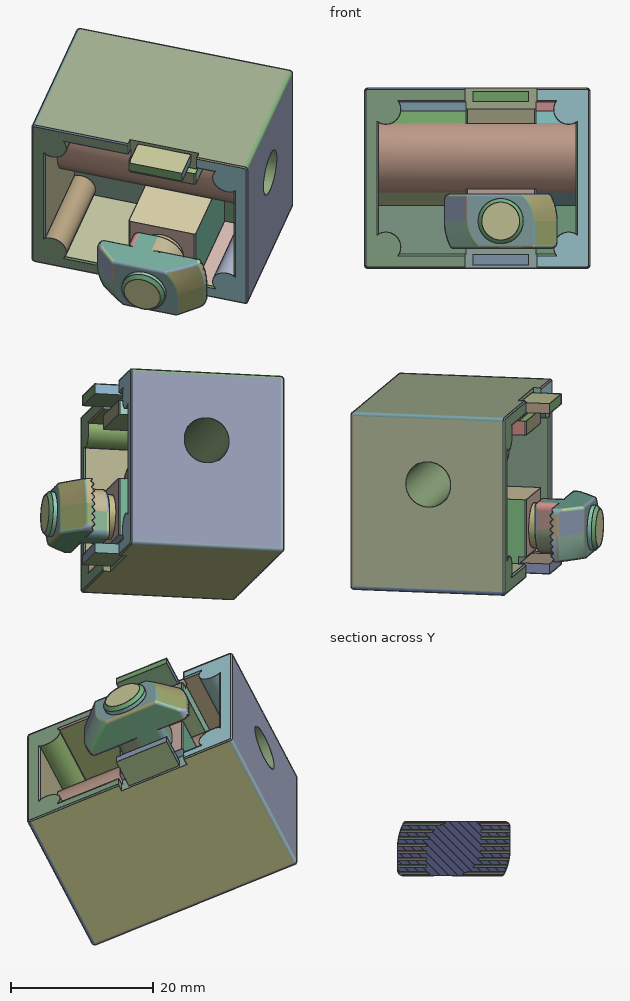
import cadquery as cq
import math

WIDTH = 31.75
DEPTH = 22.22
HEIGHT = 25.4
EDGE_ROUND = 0.5
FRONT_CHAMFER = 0.2
WALL = 2.0
RIM_CHAMFER = 0.22
CHAMFER_ANGLE = 45

POST_INSET = 3.02
POST_RADIUS = 2.1

TUBE_Y = 11.0
TUBE_Z = 15.53
TUBE_RADIUS = 5.2
BORE_RADIUS = 3.25
WEB_TILT = math.radians(20)
WEB_HALF_HEIGHT = 6.67
WEB_START_Y = TUBE_Y - TUBE_RADIUS * math.sin(WEB_TILT)
WEB_START_HALF = TUBE_RADIUS * math.cos(WEB_TILT)
CAVITY_BACK = WEB_START_Y + (WEB_HALF_HEIGHT - WEB_START_HALF) / math.tan(WEB_TILT)

MID_X = 19.2
BLOCK_WIDTH = 9.8
GAP_BOTTOM = 11.18
GAP_TOP = 20.4

NOTCH_WIDTH = 10.1
NOTCH_DEPTH = 1.08
NOTCH_HEIGHT = 3.0
TAB_WIDTH = 7.8
TAB_THICKNESS = 1.43
TAB_INSET = 0.5
TAB_REACH = 3.18

BOLT_X = 19.18
BOLT_Z = 6.67
STEM_RADIUS = 3.18
STEM_DEPTH = 6.35
HEAD_HALF = 3.85
NECK_START = -0.95
NECK_CORNER = 1.0
TURN_CORNER = 4.0
NECK_ROUND = 0.4
HEAD_BACK = -4.03
HEAD_SLANT_START = -5.2
HEAD_FRONT = -8.4
BOLT_TIP = -9.52
HEAD_REACH = 7.95
HEAD_FRONT_REACH = HEAD_REACH - (HEAD_SLANT_START - HEAD_FRONT)
HEAD_CORNER = 0.9
HEAD_ROUND = 0.4
TIP_CHAMFER = 0.5
TOOTH_PITCH = 1.0
TOOTH_DEPTH = 0.48


def box(x0, x1, y0, y1, z0, z1):
    """Box between two opposite corners."""
    return cq.Workplane("XY").box(x1 - x0, y1 - y0, z1 - z0, centered=False).translate((x0, y0, z0))


def y_cylinder(x, z, radius, y0, y1):
    """Cylinder along Y from y0 to y1."""
    return cq.Workplane("XZ", origin=(x, y0, z)).circle(radius).extrude(y0 - y1)


def x_cylinder(radius, x0, x1):
    """Cylinder along X on the tube axis."""
    return cq.Workplane("YZ", origin=(x0, TUBE_Y, TUBE_Z)).circle(radius).extrude(x1 - x0)


def make_shell():
    """Rounded box with a cavity that opens at the front."""
    shell = box(0, WIDTH, 0, DEPTH, 0, HEIGHT)
    shell = shell.edges("|Y").fillet(EDGE_ROUND)
    shell = shell.faces(">Y").edges().fillet(EDGE_ROUND)
    shell = shell.faces("<Y").edges().chamfer(FRONT_CHAMFER)
    cavity = box(WALL, WIDTH - WALL, 0, CAVITY_BACK, WALL, HEIGHT - WALL)
    rim = (
        cq.Workplane("XZ", origin=(WIDTH / 2, 0, HEIGHT / 2))
        .rect(WIDTH - 2 * (WALL - RIM_CHAMFER), HEIGHT - 2 * (WALL - RIM_CHAMFER))
        .extrude(-RIM_CHAMFER, taper=CHAMFER_ANGLE)
    )
    return shell.cut(cavity).cut(rim)


def add_posts(housing):
    """Round post in each corner of the cavity."""
    for x in (POST_INSET, WIDTH - POST_INSET):
        for z in (POST_INSET, HEIGHT - POST_INSET):
            housing = housing.union(y_cylinder(x, z, POST_RADIUS, 0, CAVITY_BACK))
    return housing


def make_block():
    """Floor-to-roof block with a gap in front of the tube."""
    half = BLOCK_WIDTH / 2
    block = box(MID_X - half, MID_X + half, 0, CAVITY_BACK, WALL, HEIGHT - WALL)
    block = block.edges("|Z and <Y").chamfer(FRONT_CHAMFER)
    gap = box(MID_X - half, MID_X + half, 0, CAVITY_BACK, GAP_BOTTOM, GAP_TOP)
    return block.cut(gap)


def make_tube():
    """Cross tube with a web that flares to the back wall."""
    tube = x_cylinder(TUBE_RADIUS, WALL, WIDTH - WALL)
    web = (
        cq.Workplane("YZ", origin=(WALL, 0, 0))
        .moveTo(WEB_START_Y, TUBE_Z - WEB_START_HALF)
        .lineTo(CAVITY_BACK, TUBE_Z - WEB_HALF_HEIGHT)
        .lineTo(CAVITY_BACK, TUBE_Z + WEB_HALF_HEIGHT)
        .lineTo(WEB_START_Y, TUBE_Z + WEB_START_HALF)
        .close()
        .extrude(WIDTH - 2 * WALL)
    )
    return tube.union(web)


def add_notch_and_tab(housing, outer_z, inward):
    """Notch in the roof or floor edge at outer_z, with its tab; inward is the Z sign into the box."""

    def level(distance):
        return outer_z + inward * distance

    def slab(width, y0, near, far):
        low, high = sorted((level(near), level(far)))
        return box(MID_X - width / 2, MID_X + width / 2, y0, NOTCH_DEPTH, low, high)

    housing = housing.cut(slab(NOTCH_WIDTH, 0, 0, NOTCH_HEIGHT))
    return housing.union(slab(TAB_WIDTH, -TAB_REACH, TAB_INSET, TAB_INSET + TAB_THICKNESS))


def make_housing():
    """Housing with its tube, bolt block, tabs and bolt hole."""
    housing = add_posts(make_shell())
    housing = housing.union(make_block()).union(make_tube())
    housing = housing.cut(x_cylinder(BORE_RADIUS, 0, WIDTH))
    housing = add_notch_and_tab(housing, 0, 1)
    housing = add_notch_and_tab(housing, HEIGHT, -1)
    return housing.cut(y_cylinder(BOLT_X, BOLT_Z, STEM_RADIUS, 0, STEM_DEPTH))


def square_quadrants(y0, y1):
    """The upper-left and lower-right quadrants about the bolt axis, which stay square."""
    upper_left = box(BOLT_X - HEAD_REACH, BOLT_X, y0, y1, BOLT_Z, BOLT_Z + HEAD_HALF)
    lower_right = box(BOLT_X, BOLT_X + HEAD_REACH, y0, y1, BOLT_Z - HEAD_HALF, BOLT_Z)
    return upper_left.union(lower_right)


def make_neck():
    """Square neck with large corners in the two quadrants that turn inside a slot."""
    side = 2 * HEAD_HALF
    neck = (
        cq.Workplane("XZ", origin=(BOLT_X, NECK_START, BOLT_Z))
        .rect(side, side)
        .extrude(NECK_START - HEAD_SLANT_START)
    )
    for corner in ("<(1,0,-1)", ">(1,0,-1)"):
        neck = neck.edges("|Y").edges(corner).fillet(NECK_CORNER)
    for corner in ("<(1,0,1)", ">(1,0,1)"):
        neck = neck.edges("|Y").edges(corner).fillet(TURN_CORNER)
    return neck.faces(">Y").edges().fillet(NECK_ROUND)


def make_head():
    """Trapezoid head, trimmed to a cylinder and cone in the two turning quadrants."""
    side = [
        (HEAD_REACH, HEAD_BACK),
        (HEAD_REACH, HEAD_SLANT_START),
        (HEAD_FRONT_REACH, HEAD_FRONT),
    ]
    mirrored = [(-x, y) for x, y in reversed(side)]
    head = (
        cq.Workplane("XY", origin=(BOLT_X, 0, BOLT_Z - HEAD_HALF))
        .polyline(side + mirrored)
        .close()
        .extrude(2 * HEAD_HALF)
        .edges("|Y")
        .fillet(HEAD_CORNER)
    )
    swept = (
        cq.Workplane("XY", origin=(BOLT_X, 0, BOLT_Z))
        .polyline([(0, HEAD_BACK)] + side + [(0, HEAD_FRONT)])
        .close()
        .revolve(360, (0, 0, 0), (0, 1, 0))
    )
    head = head.intersect(swept.union(square_quadrants(HEAD_FRONT, HEAD_BACK)))
    return head.edges("not(>Y and |X)").fillet(HEAD_ROUND)


def cut_teeth(head):
    """V grooves along X across the back of the head."""
    spaces = int(2 * HEAD_HALF / TOOTH_PITCH)
    for i in range(spaces + 1):
        z = BOLT_Z + (i - spaces / 2) * TOOTH_PITCH
        groove = (
            cq.Workplane("YZ", origin=(BOLT_X - HEAD_REACH, 0, 0))
            .moveTo(HEAD_BACK, z - TOOTH_PITCH / 2)
            .lineTo(HEAD_BACK - TOOTH_DEPTH, z)
            .lineTo(HEAD_BACK, z + TOOTH_PITCH / 2)
            .close()
            .extrude(2 * HEAD_REACH)
        )
        head = head.cut(groove)
    return head


def make_bolt():
    """T-head bolt whose plain stem fills the hole in the block."""
    stem = y_cylinder(BOLT_X, BOLT_Z, STEM_RADIUS, BOLT_TIP, STEM_DEPTH)
    stem = stem.faces("<Y").edges().chamfer(TIP_CHAMFER)
    return cut_teeth(make_head()).union(make_neck()).union(stem)


housing = make_housing()
bolt = make_bolt()
result = cq.Compound.makeCompound([housing.val(), bolt.val()])